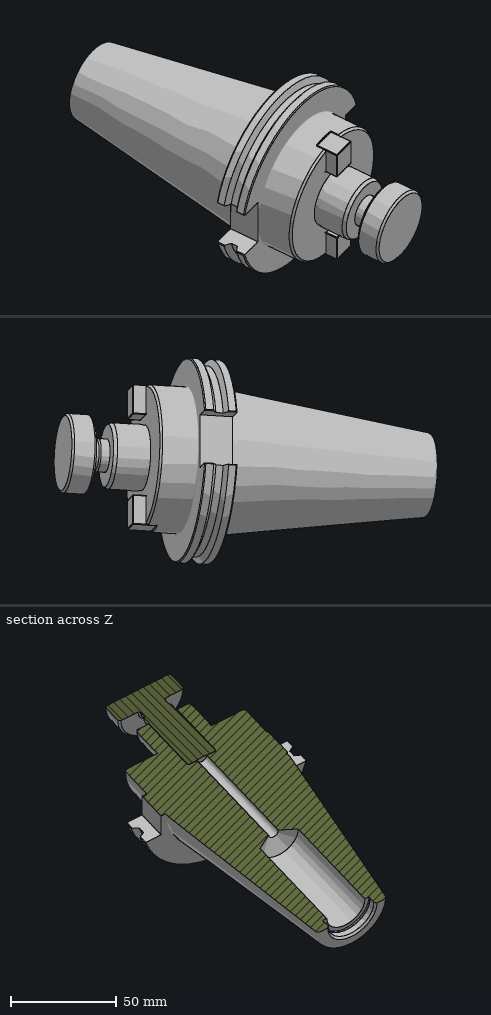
import cadquery as cq
import math


TAPER_LENGTH = 101.6
GAUGE_DIAMETER = 69.8
TAPER_RATIO = 7 / 24
SMALL_END_FILLET = 2.1

FLANGE_START = 104.8
FLANGE_END = 120.7
FLANGE_DIAMETER = 97.5
FLANGE_EDGE_CHAMFER = 0.5
FLANGE_ROOT_FILLET = 0.5
GROOVE_CENTER = 112.7
GROOVE_FLOOR_WIDTH = 3.5
GROOVE_FLOOR_DIAMETER = 91.1
GROOVE_FLANK_ANGLE = 30.0
SLOT_WIDTH = 25.7
SLOT_EDGE_CHAMFER = 0.5
SLOT_FLOOR_FRONT = 35.5
SLOT_FLOOR_BACK = 37.7

BODY_DIAMETER = 70.0
BODY_END = 139.5
BODY_CHAMFER = 1.0
PILOT_DIAMETER = 31.8
PILOT_END = 157.5
PILOT_CHAMFER_LENGTH = 1.8
PILOT_CHAMFER_DEPTH = 0.9
RELIEF_DIAMETER = 31.3
RELIEF_WIDTH = 0.7
RELIEF_RUNOUT = 1.6

ENTRY_DIAMETER = 26.3
ENTRY_DEPTH = 4.3
ENTRY_CHAMFER = 1.0
UNDERCUT_DIAMETER = 26.6
UNDERCUT_DEPTH = 5.4
PILOT_HOLE_DIAMETER = 22.0
PILOT_HOLE_DEPTH = 60.7
DRILL_POINT_ANGLE = 60.0
PASSAGE_DIAMETER = 5.5

KEY_START = 134.0
KEY_LENGTH = 12.0
KEY_WIDTH = 12.0
KEY_INNER_REACH = 19.8
KEY_OUTER_REACH = 34.3
KEY_CHAMFER = 0.4
KEY_ANGLES = (0, 180)

SCREW_START = 125.0
SCREW_THREAD_DIAMETER = 15.9
SCREW_THREAD_END = 161.8
SCREW_NECK_DIAMETER = 14.3
HEAD_DIAMETER = 38.0
HEAD_START = 166.5
HEAD_END = 178.6
HEAD_CHAMFER = 1.0
NECK_FLARE = 0.9


def revolve_profile(points):
    """Turn a closed (x, radius) outline about the X axis."""
    return cq.Workplane("XY").polyline(points).close().revolve(360, (0, 0, 0), (1, 0, 0))


def make_blank():
    """Outside of the holder: taper, flange, body and pilot spigot."""
    gauge_radius = GAUGE_DIAMETER / 2
    small_radius = gauge_radius - TAPER_LENGTH * TAPER_RATIO / 2
    taper = revolve_profile([
        (0, 0),
        (0, small_radius),
        (TAPER_LENGTH, gauge_radius),
        (FLANGE_START, gauge_radius),
        (FLANGE_START, 0),
    ]).faces("<X").edges().fillet(SMALL_END_FILLET)

    flange = (
        cq.Workplane("YZ", origin=(FLANGE_START, 0, 0))
        .circle(FLANGE_DIAMETER / 2)
        .extrude(FLANGE_END - FLANGE_START)
        .edges()
        .chamfer(FLANGE_EDGE_CHAMFER)
    )

    body_radius = BODY_DIAMETER / 2
    pilot_radius = PILOT_DIAMETER / 2
    relief_radius = RELIEF_DIAMETER / 2
    relief_end = BODY_END + RELIEF_WIDTH
    front = revolve_profile([
        (FLANGE_END, 0),
        (FLANGE_END, body_radius),
        (BODY_END - BODY_CHAMFER, body_radius),
        (BODY_END, body_radius - BODY_CHAMFER),
        (BODY_END, relief_radius),
        (relief_end, relief_radius),
        (relief_end + RELIEF_RUNOUT, pilot_radius),
        (PILOT_END - PILOT_CHAMFER_LENGTH, pilot_radius),
        (PILOT_END, pilot_radius - PILOT_CHAMFER_DEPTH),
        (PILOT_END, 0),
    ])
    return taper.union(flange).union(front).union(make_root_fillets())


def make_root_fillets():
    """Concave fillets where the taper and the body run into the flange faces."""
    size = FLANGE_ROOT_FILLET
    mid = size * (1 - math.sqrt(0.5))
    rings = cq.Workplane("XY")
    for face_x, outward, radius in [
        (FLANGE_START, -1, GAUGE_DIAMETER / 2),
        (FLANGE_END, 1, BODY_DIAMETER / 2),
    ]:
        ring = (
            cq.Workplane("XY")
            .moveTo(face_x, radius)
            .lineTo(face_x, radius + size)
            .threePointArc((face_x + outward * mid, radius + mid), (face_x + outward * size, radius))
            .close()
            .revolve(360, (0, 0, 0), (1, 0, 0))
        )
        rings = rings.add(ring)
    return rings.combine()


def make_groove():
    """V-shaped gripper groove around the flange."""
    floor_radius = GROOVE_FLOOR_DIAMETER / 2
    rim_radius = FLANGE_DIAMETER / 2
    floor_half = GROOVE_FLOOR_WIDTH / 2
    rim_half = floor_half + (rim_radius - floor_radius) * math.tan(math.radians(GROOVE_FLANK_ANGLE))
    return revolve_profile([
        (GROOVE_CENTER - floor_half, floor_radius),
        (GROOVE_CENTER - rim_half, rim_radius),
        (GROOVE_CENTER + rim_half, rim_radius),
        (GROOVE_CENTER + floor_half, floor_radius),
    ])


def make_drive_slot(side, floor):
    """Chamfered driving slot across the flange on the +Y (side = 1) or -Y (side = -1) side."""
    rim = FLANGE_DIAMETER / 2
    half_width = SLOT_WIDTH / 2
    corner = math.sqrt(rim**2 - half_width**2)
    flare = half_width + SLOT_EDGE_CHAMFER
    return (
        cq.Workplane("YZ", origin=(FLANGE_START, 0, 0))
        .polyline([
            (side * floor, -half_width),
            (side * (corner - SLOT_EDGE_CHAMFER), -half_width),
            (side * corner, -flare),
            (side * rim, -flare),
            (side * rim, flare),
            (side * corner, flare),
            (side * (corner - SLOT_EDGE_CHAMFER), half_width),
            (side * floor, half_width),
        ])
        .close()
        .extrude(FLANGE_END - FLANGE_START)
    )


def make_bore():
    """Draw-bar bore with an undercut, drilled hole with conical bottom, and passage to the screw."""
    entry_radius = ENTRY_DIAMETER / 2
    undercut_radius = UNDERCUT_DIAMETER / 2
    hole_radius = PILOT_HOLE_DIAMETER / 2
    passage_radius = PASSAGE_DIAMETER / 2
    cone_length = (hole_radius - passage_radius) / math.tan(math.radians(DRILL_POINT_ANGLE))
    return revolve_profile([
        (0, 0),
        (0, entry_radius + ENTRY_CHAMFER),
        (ENTRY_CHAMFER, entry_radius),
        (ENTRY_DEPTH, entry_radius),
        (ENTRY_DEPTH, undercut_radius),
        (UNDERCUT_DEPTH, undercut_radius),
        (UNDERCUT_DEPTH, hole_radius),
        (PILOT_HOLE_DEPTH, hole_radius),
        (PILOT_HOLE_DEPTH + cone_length, passage_radius),
        (SCREW_START, passage_radius),
        (SCREW_START, 0),
    ])


def make_key_block(outer_reach):
    """Sharp-edged block of the key's plan size, from its inner face out to outer_reach along +Z."""
    return (
        cq.Workplane("XY", origin=(KEY_START, 0, KEY_INNER_REACH))
        .rect(KEY_LENGTH, KEY_WIDTH)
        .extrude(outer_reach - KEY_INNER_REACH)
        .translate((KEY_LENGTH / 2, 0, 0))
    )


def place_key(block, angle):
    """Turn a block about the X axis to its place on the front face."""
    return block.rotate((0, 0, 0), (1, 0, 0), angle)


def make_key(angle):
    """Drive key, chamfered on every edge."""
    return place_key(make_key_block(KEY_OUTER_REACH).edges().chamfer(KEY_CHAMFER), angle)


def make_key_slot(angle):
    """Slot for a drive key, open at the front face and at the outside of the body."""
    return place_key(make_key_block(BODY_DIAMETER / 2), angle)


def make_screw():
    """Retaining screw with a relieved neck under a wide chamfered head."""
    thread_radius = SCREW_THREAD_DIAMETER / 2
    neck_radius = SCREW_NECK_DIAMETER / 2
    head_radius = HEAD_DIAMETER / 2
    runout = thread_radius - neck_radius
    return revolve_profile([
        (SCREW_START, 0),
        (SCREW_START, thread_radius),
        (SCREW_THREAD_END, thread_radius),
        (SCREW_THREAD_END + runout, neck_radius),
        (HEAD_START - NECK_FLARE, neck_radius),
        (HEAD_START, neck_radius + NECK_FLARE),
        (HEAD_START, head_radius - HEAD_CHAMFER),
        (HEAD_START + HEAD_CHAMFER, head_radius),
        (HEAD_END - HEAD_CHAMFER, head_radius),
        (HEAD_END, head_radius - HEAD_CHAMFER),
        (HEAD_END, 0),
    ])


screw = make_screw()
keys = [make_key(angle) for angle in KEY_ANGLES]

holder = make_blank().cut(make_groove()).cut(make_bore()).cut(screw)
holder = holder.cut(make_drive_slot(-1, SLOT_FLOOR_FRONT)).cut(make_drive_slot(1, SLOT_FLOOR_BACK))
for key_angle in KEY_ANGLES:
    holder = holder.cut(make_key_slot(key_angle))

result = cq.Compound.makeCompound([holder.val(), screw.val(), *[key.val() for key in keys]])